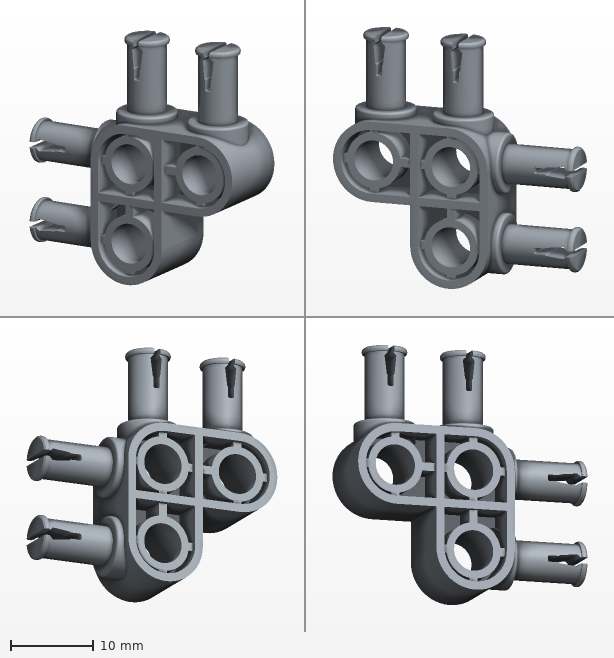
import cadquery as cq
import math

pitch = 10.0
body_depth = pitch
outer_radius = pitch / 2
wall = 1.02
inner_radius = outer_radius - wall
floor_thickness = 1.02

arm_reach = pitch - outer_radius

hole_diameter = 5.0
tube_diameter = 6.92
tube_recess = 0.75
rib_width = 1.02
rib_length = 2 * outer_radius

pin_diameter = 4.88
pin_tip = 15.1
collar_diameter = 7.5
collar_top = 5.87
collar_round = 0.33
lip_top_diameter = 5.0
lip_rim_diameter = 5.42
lip_bulge_diameter = 5.55
lip_rim_depth = 0.18
lip_bulge_depth = 0.45
lip_height = 0.72

slot_width = 0.78
slot_neck_depth = 0.87
slot_wide_width = 1.5
slot_wide_depth = 1.23
slot_taper_width = 1.0
slot_taper_depth = 3.5
slot_root_start_depth = 3.65
slot_depth = 5.03
slot_corner_radius = 0.2

corner_cell = (0, 0)
right_cell = (pitch, 0)
lower_cell = (0, -pitch)
cells = [corner_cell, right_cell, lower_cell]


def slab(sketch, depth):
    """Extrude an outline drawn in the XZ plane evenly to both sides of Y = 0."""
    return sketch.extrude(depth / 2, both=True)


def cylinder_at(cell, diameter, depth):
    return slab(cq.Workplane("XZ").center(*cell).circle(diameter / 2), depth)


def box_at(cell, width, height, depth):
    return slab(cq.Workplane("XZ").center(*cell).rect(width, height), depth)


def solid_body():
    """L-shaped block with a round corner and round arm ends."""
    diagonal = outer_radius * math.sqrt(0.5)
    outline = (
        cq.Workplane("XZ")
        .moveTo(-outer_radius, 0)
        .threePointArc((-diagonal, diagonal), (0, outer_radius))
        .lineTo(pitch, outer_radius)
        .threePointArc((pitch + outer_radius, 0), (pitch, -outer_radius))
        .lineTo(outer_radius, -outer_radius)
        .lineTo(outer_radius, -pitch)
        .threePointArc((0, -pitch - outer_radius), (-outer_radius, -pitch))
        .close()
    )
    return slab(outline, body_depth)


def corner_cavity():
    """Square pocket with one round corner, in line with the round of the block."""
    square = box_at(corner_cell, 2 * inner_radius, 2 * inner_radius, body_depth)
    quarter = box_at((-inner_radius / 2, inner_radius / 2), inner_radius, inner_radius, body_depth)
    return square.cut(quarter).union(cylinder_at(corner_cell, 2 * inner_radius, body_depth))


def arm_cavity(cell, straight_centre, width, height):
    """Pocket with a round outer end that reaches the wall shared with the corner cell."""
    straight = box_at(straight_centre, width, height, body_depth)
    return straight.union(cylinder_at(cell, 2 * inner_radius, body_depth))


def hole_tube(cell):
    """Tube with four ribs that end inside the surrounding walls."""
    depth = body_depth - 2 * tube_recess
    tube = cylinder_at(cell, tube_diameter, depth)
    tube = tube.union(box_at(cell, rib_length, rib_width, depth))
    return tube.union(box_at(cell, rib_width, rib_length, depth))


def slot_cutter():
    """Split that tapers to a small bevel above a straight root, cut through along Y."""
    half_neck = slot_width / 2
    half_wide = slot_wide_width / 2
    half_taper = slot_taper_width / 2
    neck_z = pin_tip - slot_neck_depth
    wide_z = pin_tip - slot_wide_depth
    taper_z = pin_tip - slot_taper_depth
    root_start_z = pin_tip - slot_root_start_depth
    root_z = pin_tip - slot_depth
    right_side = [
        (half_neck, root_z),
        (half_neck, root_start_z),
        (half_taper, taper_z),
        (half_wide, wide_z),
        (half_neck, neck_z),
        (half_neck, pin_tip),
    ]
    left_side = [(-x, z) for x, z in reversed(right_side)]
    cutter = slab(cq.Workplane("XZ").polyline(right_side + left_side).close(), collar_diameter)
    return cutter.faces("<Z").edges("|Y").fillet(slot_corner_radius)


def lip():
    """Retaining lip at the pin tip: bevelled at the top, with a bulging side."""
    rim_radius = lip_rim_diameter / 2
    profile = (
        cq.Workplane("XZ")
        .moveTo(0, pin_tip)
        .lineTo(lip_top_diameter / 2, pin_tip)
        .lineTo(rim_radius, pin_tip - lip_rim_depth)
        .threePointArc(
            (lip_bulge_diameter / 2, pin_tip - lip_bulge_depth),
            (rim_radius, pin_tip - lip_height),
        )
        .lineTo(0, pin_tip - lip_height)
        .close()
    )
    return profile.revolve(360, (0, 0), (0, 1))


def pin():
    """Upright pin over the origin; its collar fits against the round of the cell."""
    collar = cq.Workplane("XY").circle(collar_diameter / 2).extrude(collar_top)
    collar = collar.faces(">Z").edges().fillet(collar_round)
    shank = cq.Workplane("XY").circle(pin_diameter / 2).extrude(pin_tip)
    whole = collar.union(shank).union(lip()).cut(slot_cutter())
    return whole.cut(cylinder_at(corner_cell, 2 * outer_radius, body_depth))


result = solid_body()
floor = box_at(corner_cell, 4 * pitch, 4 * pitch, floor_thickness)
right_cavity = arm_cavity(right_cell, (pitch - arm_reach / 2, 0), arm_reach, 2 * inner_radius)
lower_cavity = arm_cavity(lower_cell, (0, -pitch + arm_reach / 2), 2 * inner_radius, arm_reach)
for cell, cavity in zip(cells, (corner_cavity(), right_cavity, lower_cavity)):
    result = result.cut(cavity.cut(floor).cut(hole_tube(cell)))

upright_pin = pin()
left_pin = upright_pin.rotate((0, 0, 0), (0, 1, 0), -90)
for step in range(2):
    result = result.union(upright_pin.translate((step * pitch, 0, 0)))
    result = result.union(left_pin.translate((0, 0, -step * pitch)))

for cell in cells:
    result = result.cut(cylinder_at(cell, hole_diameter, body_depth))